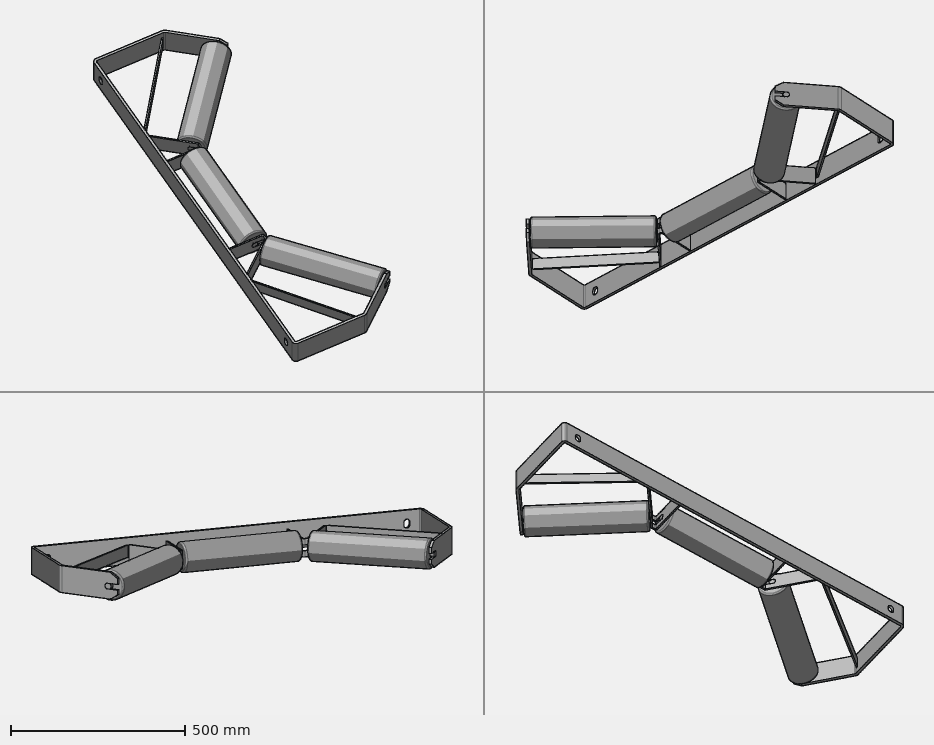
import cadquery as cq
import math

frame_width = 1210.0
strip_depth = 80.0
frame_thickness = 8.0
trough_angle = 40.0
bend_height = 235.0
arm_length = 188.0
base_corner_radius = 12.0
arm_bend_radius = 16.0
arm_chamfer_along = 24.0
arm_chamfer_across = 16.0

mount_slot_spacing = 1108.0
mount_slot_width = 18.0
mount_slot_length = 27.0

roller_length = 360.0
roller_diameter = 90.0
roller_end_fillet = 5.0
shaft_diameter = 19.0
shaft_flat_width = 17.0
end_gap = 4.0
centre_roller_height = 99.0
roller_drop = 8.0
side_roller_seat = 156.0
side_roller_tilt = 1.0

slot_height = 48.0
slot_run = 15.0

plate_thickness = 5.0
bracket_top = 130.0
bracket_depth = 55.0
bracket_bend_radius = 7.0
brace_depth = 36.0
brace_top_height = 221.0
brace_foot_x = -315.0

half_width = frame_width / 2
sin_trough = math.sin(math.radians(trough_angle))
cos_trough = math.cos(math.radians(trough_angle))

plate_reach = roller_length / 2 + end_gap

arm_clearance = frame_thickness + plate_reach
side_roller_x = -half_width + side_roller_seat * sin_trough + arm_clearance * cos_trough
side_roller_height = bend_height + side_roller_seat * cos_trough - arm_clearance * sin_trough


def mirrored(body):
    """Copy of a left-hand body on the right-hand side."""
    return body.mirror("YZ")


def strip(path, bend_radii, thickness, depth):
    """Flat bar bent along a path that turns left, with its material to the left of the path.

    bend_radii holds one outer radius for each turn, or 0 for a sharp turn.
    """
    def unit(start, end):
        length = math.dist(start, end)
        return (end[0] - start[0]) / length, (end[1] - start[1]) / length

    directions = [unit(start, end) for start, end in zip(path, path[1:])]
    befores = [directions[0]] + directions
    afters = directions + [directions[-1]]
    inner_path = []
    for (x, y), before, after in zip(path, befores, afters):
        mitre = thickness / (1 + before[0] * after[0] + before[1] * after[1])
        inner_path.append((x - mitre * (before[1] + after[1]), y + mitre * (before[0] + after[0])))
    outline = path + inner_path[::-1]
    bar = cq.Workplane("XY").polyline(outline).close().extrude(depth).translate((0, 0, -depth / 2))

    for outer_point, inner_point, radius in zip(path[1:-1], inner_path[1:-1], bend_radii):
        if radius > 0:
            outside = cq.NearestToPointSelector((*outer_point, 0))
            inside = cq.NearestToPointSelector((*inner_point, 0))
            bar = bar.edges("|Z").edges(outside).fillet(radius)
            bar = bar.edges("|Z").edges(inside).fillet(radius - thickness)
    return bar


def along_side_roller(body):
    """Move a body from the X axis onto the axis of the left side roller."""
    centre_z = -roller_drop + roller_length / 2 * math.sin(math.radians(side_roller_tilt))
    return (
        body.rotate((0, 0, 0), (0, 1, 0), side_roller_tilt)
        .rotate((0, 0, 0), (0, 0, 1), -trough_angle)
        .translate((side_roller_x, side_roller_height, centre_z))
    )


def along_centre_roller(body):
    """Move a body from the X axis onto the axis of the centre roller."""
    return body.translate((0, centre_roller_height, -roller_drop))


def shaft_bar(start, end):
    """Round bar along X from start to end, with flats above and below in Z."""
    bar = cq.Workplane("YZ").workplane(offset=start).circle(shaft_diameter / 2).extrude(end - start)
    between_flats = (
        cq.Workplane("YZ").workplane(offset=start)
        .rect(shaft_diameter, shaft_flat_width).extrude(end - start)
    )
    return bar.intersect(between_flats)


def make_roller(outer_plate, inner_plate):
    """Roller along X with a shaft stub at each end, long enough for the plate that holds it."""
    body = (
        cq.Workplane("YZ").workplane(offset=-roller_length / 2)
        .circle(roller_diameter / 2).extrude(roller_length)
        .faces("<X or >X").edges().fillet(roller_end_fillet)
    )
    shaft = shaft_bar(-plate_reach - outer_plate, plate_reach + inner_plate)
    return body.union(shaft)


def shaft_slot(end):
    """Cutter for a slot that seats one shaft end (-1 or 1) of a roller along X and opens upward in Y."""
    start, stop = sorted((end * roller_length / 2, end * (roller_length / 2 + slot_run)))
    mouth = (
        cq.Workplane("YZ").workplane(offset=start).center(slot_height / 2, 0)
        .rect(slot_height, shaft_flat_width).extrude(stop - start)
    )
    return shaft_bar(start, stop).union(mouth)


def make_frame():
    tip_x = half_width - arm_length * sin_trough
    tip_y = bend_height + arm_length * cos_trough
    path = [
        (-tip_x, tip_y), (-half_width, bend_height), (-half_width, 0),
        (half_width, 0), (half_width, bend_height), (tip_x, tip_y),
    ]
    bend_radii = [arm_bend_radius, base_corner_radius, base_corner_radius, arm_bend_radius]
    frame = strip(path, bend_radii, frame_thickness, strip_depth)

    left_wedge = (
        cq.Workplane("YZ")
        .polyline([
            (0, strip_depth / 2 - arm_chamfer_across),
            (0, strip_depth / 2),
            (-arm_chamfer_along, strip_depth / 2),
        ])
        .close().extrude(frame_thickness)
        .rotate((0, 0, 0), (0, 0, 1), -trough_angle)
        .translate((-tip_x, tip_y, 0))
    )
    for wedge in (left_wedge, mirrored(left_wedge)):
        frame = frame.cut(wedge).cut(wedge.mirror("XY"))

    outer_slot = along_side_roller(shaft_slot(-1))
    frame = frame.cut(outer_slot).cut(mirrored(outer_slot))

    mount_slots = (
        cq.Workplane("XZ").pushPoints([(-mount_slot_spacing / 2, 0), (mount_slot_spacing / 2, 0)])
        .slot2D(mount_slot_length, mount_slot_width, 90).extrude(-frame_thickness)
    )
    return frame.cut(mount_slots)


def make_bracket():
    """Left bracket: upright plate beside the centre roller, bent over and sloping down to the base."""
    upright_x = -plate_reach
    face_x = side_roller_x + plate_reach * cos_trough
    face_y = side_roller_height - plate_reach * sin_trough

    def slope_x(y):
        return face_x + (y - face_y) * sin_trough / cos_trough

    path = [(upright_x, 0), (upright_x, bracket_top), (slope_x(bracket_top), bracket_top), (slope_x(0), 0)]
    bracket = strip(path, [bracket_bend_radius, 0], plate_thickness, bracket_depth)
    below_base_top = cq.Workplane("XY").box(frame_width, 2 * frame_thickness, strip_depth)
    bracket = bracket.cut(below_base_top).translate((0, 0, -roller_drop))
    return bracket.cut(along_side_roller(shaft_slot(1))).cut(along_centre_roller(shaft_slot(-1)))


def make_brace():
    """Left brace: flat bar from the upright of the frame down to the base."""
    start = (-half_width + frame_thickness, brace_top_height)
    end = (brace_foot_x, frame_thickness)
    slope = (end[1] - start[1]) / (end[0] - start[0])
    overrun = 12.0
    path = [(start[0] - overrun, start[1] - overrun * slope), (end[0] + overrun, end[1] + overrun * slope)]
    inside_frame = (
        cq.Workplane("XY")
        .box(frame_width - 2 * frame_thickness, frame_width, strip_depth)
        .translate((0, frame_width / 2 + frame_thickness, 0))
    )
    return strip(path, [], plate_thickness, brace_depth).intersect(inside_frame)


frame = make_frame()
centre_roller = along_centre_roller(make_roller(plate_thickness, plate_thickness))
side_roller = along_side_roller(make_roller(frame_thickness, plate_thickness))
bracket = make_bracket()
brace = make_brace()

left_bodies = [body.solids().val() for body in (side_roller, bracket, brace)]
right_bodies = [mirrored(body) for body in left_bodies]
middle_bodies = [frame.solids().val(), centre_roller.solids().val()]
result = cq.Compound.makeCompound([*middle_bodies, *left_bodies, *right_bodies])